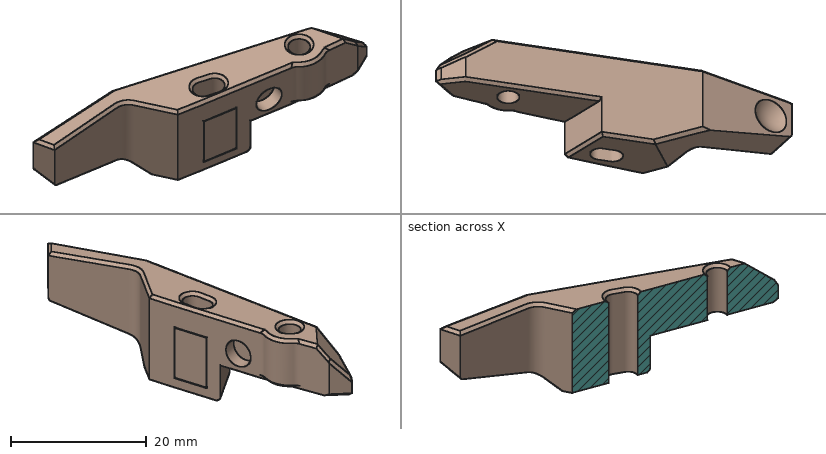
import cadquery as cq
import math

TOTAL_HEIGHT = 14.25
PLATE_THICKNESS = 8.1
PLATE_BOTTOM = TOTAL_HEIGHT - PLATE_THICKNESS
EDGE_CHAMFER = 0.5

BOSS_RADIUS = 4.1
BOSS_FILLET = 1.55
SIDE_X = 3.0
BLEND_X = SIDE_X + BOSS_FILLET
BLEND_Y = math.sqrt((BOSS_RADIUS + BOSS_FILLET) ** 2 - BLEND_X ** 2)

TIP_APEX = (1.15, 11.15)
TIP_SHOULDER = (0.4, 10.65)
TIP_LEFT = (-1.7, 7.65)
KNEE = (-7.45, -28.0)
ARM_END_OUTER = (-4.95, -43.5)
ARM_END_INNER = (-1.9, -41.75)
ELBOW = (-4.4, -27.9)
HEEL = (1.9, -22.55)
SIDE_BEND = (2.2, -18.65)
SIDE_BELOW_BOSS = (SIDE_X, -BLEND_Y)
TIP_RIGHT = (SIDE_X, 8.35)
ELBOW_RADIUS = 2.5
ARM_END_FILLET = 0.5

HOLE_DIAMETER = 3.3
SLOT_WIDTH = 3.0
SLOT_LENGTH = 4.9
SLOT_CENTRE = (-0.35, -15.7)

TIP_SLOPE_START = (SIDE_X, 6.35)
TIP_SLOPE_HEADING = -149
TIP_SLOPE_ANGLE = 45
SLOPE_MIDDLE = (0.45, 7.45, 12.15)

BLOCK_REAR_LEFT = (-4.95, -12.85)
BLOCK_REAR_RIGHT = (2.75, -10.2)

RAMP_TOP_LEFT = (*KNEE, 3.5)
RAMP_TOP_RIGHT = (-4.25, -28.15, 2.4)
RAMP_FOOT = (-5.8, -21.15, 0)
RAMP_FOOT_FROM_KNEE = 7.3
ARM_TIP_INNER = (-1.95, -41.7, 6.25)
ARM_END_RISE = 0.8

DIMPLE_DIAMETER = 5.45
DIMPLE_BALL_RADIUS = 4.0
DIMPLE_FROM_END = 3.7
DIMPLE_BELOW_TOP = 4.0

RECESS_DIAMETER = 4.3
RECESS_DEPTH = 2.2
RECESS_Y = -7.1
RECESS_BELOW_TOP = 5.15

INSERT_LENGTH = 5.45
INSERT_HEIGHT = 8.4
INSERT_THICKNESS = 0.55
INSERT_CLEARANCE = 0.1
INSERT_Y = -15.4
INSERT_BELOW_TOP = 8.35

FAR = 54.65


def heading(start, end):
    """Direction from one plan point to another, in degrees from +X."""
    return math.degrees(math.atan2(end[1] - start[1], end[0] - start[0]))


def along(start, end, distance):
    """Plan point at a distance from start toward end."""
    angle = math.radians(heading(start, end))
    return (start[0] + distance * math.cos(angle), start[1] + distance * math.sin(angle))


def near(point):
    """Selector for the item whose centre is closest to a point."""
    return cq.selectors.NearestToPointSelector(point)


def midpoint(start, end, height):
    """Point at a height, halfway between two plan points."""
    return ((start[0] + end[0]) / 2, (start[1] + end[1]) / 2, height)


def side_plane(y, depth_below_top):
    """Plane on the straight right side, facing outward, with local x level and local y up."""
    slope = (SIDE_BELOW_BOSS[0] - SIDE_BEND[0]) / (SIDE_BELOW_BOSS[1] - SIDE_BEND[1])
    x = SIDE_BEND[0] + slope * (y - SIDE_BEND[1])
    return cq.Plane(
        origin=(x, y, TOTAL_HEIGHT - depth_below_top),
        xDir=(slope, 1, 0),
        normal=(1, -slope, 0),
    )


def make_blank():
    """The full plan outline at full height, without the boss."""
    return (
        cq.Workplane("XY")
        .polyline([TIP_APEX, TIP_SHOULDER, TIP_LEFT, KNEE, ARM_END_OUTER, ARM_END_INNER,
                   ELBOW, HEEL, SIDE_BEND, SIDE_BELOW_BOSS, TIP_RIGHT])
        .close()
        .extrude(TOTAL_HEIGHT)
        .edges(near((*ELBOW, TOTAL_HEIGHT / 2)))
        .fillet(ELBOW_RADIUS)
    )


def make_tip_cutter():
    """Everything beyond and above the slope on the tip."""
    return (
        cq.Workplane("XY")
        .box(FAR, FAR, FAR, centered=(True, False, False))
        .rotate((0, 0, 0), (1, 0, 0), -TIP_SLOPE_ANGLE)
        .rotate((0, 0, 0), (0, 0, 1), TIP_SLOPE_HEADING + 180)
        .translate((*TIP_SLOPE_START, TOTAL_HEIGHT))
    )


def make_rear_cutter():
    """Everything below the plate and behind the rear face of the block."""
    return (
        cq.Workplane("XY")
        .box(FAR, FAR, FAR, centered=(True, False, False))
        .rotate((0, 0, 0), (0, 0, 1), heading(BLOCK_REAR_LEFT, BLOCK_REAR_RIGHT))
        .translate((*BLOCK_REAR_LEFT, PLATE_BOTTOM - FAR))
    )


def make_space_below(first, second, third):
    """Large block below the plane through three points."""
    corner = cq.Vector(*first)
    normal = (cq.Vector(*second) - corner).cross(cq.Vector(*third) - corner)
    if normal.z > 0:
        normal = normal * -1
    plane = cq.Plane(origin=first, normal=normal.toTuple())
    return cq.Workplane(plane).rect(FAR * 2, FAR * 2).extrude(FAR)


def make_boss():
    """Half-round boss with its blends, chamfered at the top and bottom."""
    share = BOSS_RADIUS / (BOSS_RADIUS + BOSS_FILLET)
    touch = (BLEND_X * share, BLEND_Y * share)
    blend_angle = math.atan2(BLEND_Y, BLEND_X) / 2 + math.pi
    middle = (
        BLEND_X + BOSS_FILLET * math.cos(blend_angle),
        BLEND_Y + BOSS_FILLET * math.sin(blend_angle),
    )
    return (
        cq.Workplane("XY", origin=(0, 0, PLATE_BOTTOM))
        .moveTo(0, 0)
        .lineTo(SIDE_X, -BLEND_Y)
        .threePointArc((middle[0], -middle[1]), (touch[0], -touch[1]))
        .threePointArc((BOSS_RADIUS, 0), touch)
        .threePointArc(middle, (SIDE_X, BLEND_Y))
        .close()
        .extrude(PLATE_THICKNESS)
        .edges("%CIRCLE")
        .chamfer(EDGE_CHAMFER)
    )


def make_hole_cutter(shape):
    """Straight through hole of a plan shape, widened by a chamfer at the top."""
    straight = shape.extrude(TOTAL_HEIGHT)
    flare = (
        shape.translate((0, 0, TOTAL_HEIGHT - EDGE_CHAMFER))
        .wires()
        .toPending()
        .extrude(EDGE_CHAMFER, taper=-45)
    )
    return straight.union(flare)


def make_round_hole():
    return make_hole_cutter(cq.Workplane("XY").circle(HOLE_DIAMETER / 2))


def make_slot():
    """Slot parallel to the long left side."""
    slot = cq.Workplane("XY").center(*SLOT_CENTRE).slot2D(SLOT_LENGTH, SLOT_WIDTH, heading(KNEE, TIP_LEFT))
    return make_hole_cutter(slot)


def make_dimple_ball():
    """Ball whose cap sinks into the outer face of the arm."""
    rim_x, rim_y = along(ARM_END_OUTER, KNEE, DIMPLE_FROM_END)
    outward = math.radians(heading(ARM_END_OUTER, KNEE) + 90)
    offset = math.sqrt(DIMPLE_BALL_RADIUS ** 2 - (DIMPLE_DIAMETER / 2) ** 2)
    centre = cq.Plane(
        origin=(
            rim_x + offset * math.cos(outward),
            rim_y + offset * math.sin(outward),
            TOTAL_HEIGHT - DIMPLE_BELOW_TOP,
        ),
        normal=(math.cos(outward), math.sin(outward), 0),
    )
    return cq.Workplane(centre).sphere(DIMPLE_BALL_RADIUS)


def make_side_recess():
    return (
        cq.Workplane(side_plane(RECESS_Y, RECESS_BELOW_TOP))
        .circle(RECESS_DIAMETER / 2)
        .extrude(-RECESS_DEPTH)
    )


def make_insert(clearance=0):
    """Flush rectangular plate, grown by the clearance on its four sides."""
    return (
        cq.Workplane(side_plane(INSERT_Y, INSERT_BELOW_TOP))
        .rect(INSERT_LENGTH + 2 * clearance, INSERT_HEIGHT + 2 * clearance)
        .extrude(-INSERT_THICKNESS)
    )


def cut_slopes(body):
    """Cut the tip slope, the block's rear face and the two sloping undersides."""
    ramp = make_space_below(RAMP_TOP_LEFT, RAMP_TOP_RIGHT, RAMP_FOOT)
    arm = make_space_below(RAMP_TOP_LEFT, RAMP_TOP_RIGHT, ARM_TIP_INNER)
    return body.cut(make_tip_cutter()).cut(make_rear_cutter()).cut(ramp.intersect(arm))


def chamfer_top(body):
    """Break the rim of the top face and of the tip slope, but not the line between them."""
    top_edges = body.faces(">Z").edges().vals()
    slope_edges = body.faces(near(SLOPE_MIDDLE)).edges().vals()
    rim = [edge for edge in top_edges if not any(edge.isSame(other) for other in slope_edges)]
    rim += [edge for edge in slope_edges if not any(edge.isSame(other) for other in top_edges)]
    return body.newObject(rim).chamfer(EDGE_CHAMFER)


def chamfer_underside(body):
    """Break the lower edges on the left, around the tip and at the block's rear."""
    ramp_foot_left = along(KNEE, TIP_LEFT, RAMP_FOOT_FROM_KNEE)
    spots = [
        midpoint(TIP_LEFT, BLOCK_REAR_LEFT, PLATE_BOTTOM),
        midpoint(TIP_SHOULDER, TIP_LEFT, PLATE_BOTTOM),
        midpoint(TIP_APEX, TIP_SHOULDER, PLATE_BOTTOM),
        midpoint(TIP_RIGHT, TIP_APEX, PLATE_BOTTOM),
        midpoint(BLOCK_REAR_LEFT, BLOCK_REAR_RIGHT, 0),
        midpoint(BLOCK_REAR_LEFT, ramp_foot_left, 0),
        midpoint(KNEE, ramp_foot_left, RAMP_TOP_LEFT[2] / 2),
    ]
    edges = [body.edges(near(spot)).val() for spot in spots]
    return body.newObject(edges).chamfer(EDGE_CHAMFER)


def round_arm_end(body):
    """Round the lower edge of the arm's end face."""
    lower_edge = midpoint(ARM_END_OUTER, ARM_END_INNER, ARM_TIP_INNER[2] + ARM_END_RISE)
    return body.edges(near(lower_edge)).fillet(ARM_END_FILLET)


def make_body():
    body = chamfer_underside(chamfer_top(cut_slopes(make_blank())))
    body = round_arm_end(body).union(make_boss())
    pocket = make_insert(INSERT_CLEARANCE)
    for cutter in (make_round_hole(), make_slot(), make_dimple_ball(), make_side_recess(), pocket):
        body = body.cut(cutter)
    return body


body = make_body()
insert = make_insert()
result = cq.Compound.makeCompound([body.val(), insert.val()])